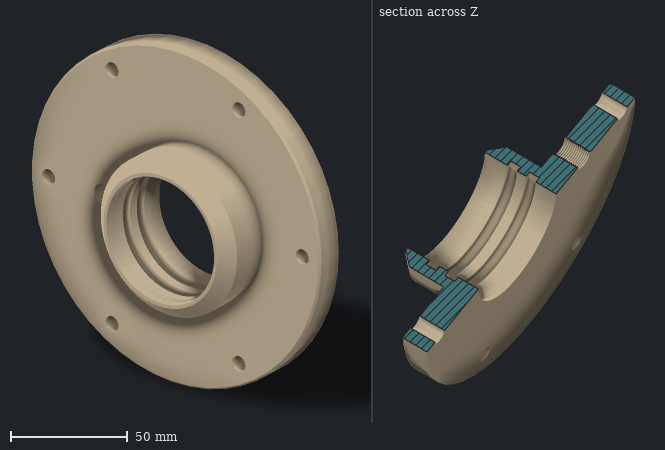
import cadquery as cq
import math

flange_diameter = 157.0
flange_thickness = 13.0
flange_chamfer = 1.0
total_depth = 37.0

bolt_count = 6
bolt_hole_diameter = 7.0
bolt_circle_radius = 68.8

boss_offset = 10.4
boss_diameter = 74.0
boss_chamfer = 6.1
bore_diameter = 58.4
groove_diameter = 63.6
groove_width = 5.0
groove_front_depths = (11.6, 21.4)

thread_offset = -39.9
thread_minor_diameter = 8.8
thread_major_diameter = 10.0
thread_pitch = 1.0
thread_root_flat = thread_pitch / 8
thread_mouth_flat = thread_pitch * 3 / 4
thread_overlap = 0.2


def cylinder(diameter, x, y_front, length, z=0):
    """Cylinder along Y whose front end lies at y_front."""
    return cq.Workplane("XZ", origin=(x, y_front + length, z)).circle(diameter / 2).extrude(length)


def make_body():
    flange = cylinder(flange_diameter, 0, -flange_thickness, flange_thickness)
    flange = flange.faces("<Y").chamfer(flange_chamfer)
    boss = cylinder(boss_diameter, boss_offset, -total_depth, total_depth)
    boss = boss.faces("<Y").chamfer(boss_chamfer)
    return flange.union(boss)


def cut_bore(body):
    body = body.cut(cylinder(bore_diameter, boss_offset, -total_depth, total_depth))
    for depth in groove_front_depths:
        body = body.cut(cylinder(groove_diameter, boss_offset, depth - total_depth, groove_width))
    return body


def cut_bolt_holes(body):
    for index in range(bolt_count):
        angle = 2 * math.pi * index / bolt_count
        x = bolt_circle_radius * math.cos(angle)
        z = bolt_circle_radius * math.sin(angle)
        body = body.cut(cylinder(bolt_hole_diameter, x, -flange_thickness, flange_thickness, z))
    return body


def make_thread_cutter():
    """Helical V groove around the Z axis, long enough to run past both faces of the flange."""
    inner_radius = thread_minor_diameter / 2 - thread_overlap
    outer_radius = thread_major_diameter / 2
    height = flange_thickness + 2 * thread_pitch
    path = cq.Wire.makeHelix(thread_pitch, height, inner_radius)
    profile = (
        cq.Workplane("XZ")
        .moveTo(inner_radius, -thread_mouth_flat / 2)
        .lineTo(outer_radius, -thread_root_flat / 2)
        .lineTo(outer_radius, thread_root_flat / 2)
        .lineTo(inner_radius, thread_mouth_flat / 2)
        .close()
    )
    return profile.sweep(path, isFrenet=True)


def cut_threaded_hole(body):
    cutter = make_thread_cutter().rotate((0, 0, 0), (1, 0, 0), 90)
    body = body.cut(cutter.translate((thread_offset, thread_pitch, 0)))
    return body.cut(
        cylinder(thread_minor_diameter, thread_offset, -flange_thickness, flange_thickness)
    )


result = cut_bore(cut_bolt_holes(cut_threaded_hole(make_body())))